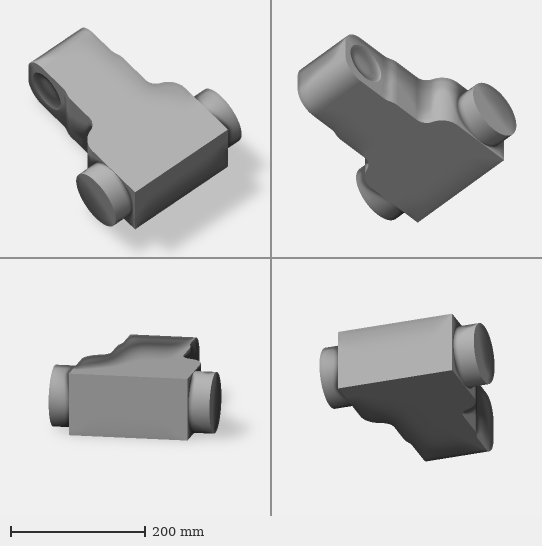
import cadquery as cq

length = 296.0
height = 94.0
nose_radius = 32.5

nose_half_width = 49.7
neck_half_width = 54.5
body_half_width = 90.0

step_start = 80.8
step_inflection = 92.5
step_end = 105.5
back_step_shift = -9.8

flare_start = 147.5
flare_inflection = 166.5
flare_end = 196.8

trunnion_diameter = 92.0
trunnion_x = 243.5
trunnion_span = 244.0

dish_x = 43.5
dish_rim_radius = 32.5
dish_floor_radius = 19.2
dish_depth = 5.0


def add_s_curve(outline, start, end, inflection_x):
    """Draw two tangent arcs joining a pair of lines parallel to X."""
    fraction = (inflection_x - start[0]) / (end[0] - start[0])
    inflection = (inflection_x, start[1] + fraction * (end[1] - start[1]))
    outline = outline.lineTo(*start)
    outline = outline.tangentArcPoint(inflection, relative=False)
    return outline.tangentArcPoint(end, relative=False)


def make_half(side, step_shift):
    """Extrude the plan outline between the XZ plane and one side (+1 or -1)."""
    nose_y = side * nose_half_width
    neck_y = side * neck_half_width
    body_y = side * body_half_width
    outline = cq.Workplane("XY").moveTo(0, 0).lineTo(0, nose_y)
    outline = add_s_curve(
        outline,
        (step_start + step_shift, nose_y),
        (step_end + step_shift, neck_y),
        step_inflection + step_shift,
    )
    outline = add_s_curve(outline, (flare_start, neck_y), (flare_end, body_y), flare_inflection)
    return outline.lineTo(length, body_y).lineTo(length, 0).close().extrude(height)


def make_trunnions():
    """A single pin through the body, projecting from both sides."""
    pin = cq.Workplane("XZ").center(trunnion_x, height / 2).circle(trunnion_diameter / 2)
    return pin.extrude(trunnion_span / 2, both=True)


def make_dish_cutter():
    """Flat-floored dish whose curved wall runs tangent into the floor."""
    rim_y = -nose_half_width
    floor_y = rim_y + dish_depth
    profile = (
        cq.Workplane("XY")
        .moveTo(0, rim_y)
        .lineTo(0, floor_y)
        .lineTo(dish_floor_radius, floor_y)
        .tangentArcPoint((dish_rim_radius, rim_y), relative=False)
        .close()
    )
    dish = profile.revolve(360, (0, 0, 0), (0, 1, 0))
    return dish.translate((dish_x, 0, height / 2))


block = make_half(-1, 0).union(make_half(1, back_step_shift)).clean()
block = block.edges("|Y and <X").fillet(nose_radius)
result = block.union(make_trunnions()).cut(make_dish_cutter())